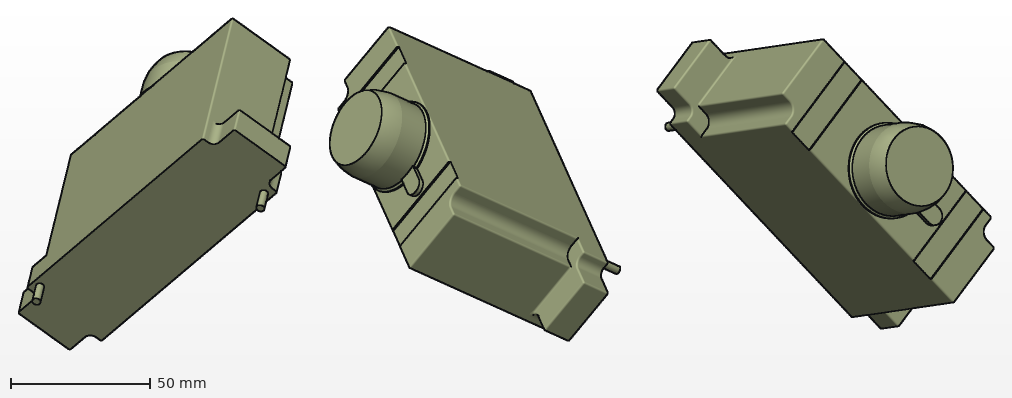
import cadquery as cq

length = 102.3
thickness = 34.8
height = 67.0
edge_radius = 0.7

flange_reach = 11.7
flange_inset = 5.3
flange_height = 11.5
flange_fillet = 2.9

rebate_length = 8.0
rebate_depth = 7.5
rebate_fillet = 3.8

groove_starts = (12.7, 80.5)
groove_width = 9.6
groove_depth = 0.6

knob_radius = 16.4
knob_top_radius = 14.3
knob_height = 20.3
knob_straight_height = 12.5
knob_mid_radius = 16.0
knob_mid_height = 15.9
collar_radius = 17.3
collar_height = 0.5

key_width = 6.9
key_tip = 23.8
key_height = 1.8

pin_radius = 1.5
pin_length = 8.3
pin_end_distance = 4.0
pin_side_distance = 3.0

turn_x = -69.9
turn_y = -47.3
turn_z = -1.9

mid_x = length / 2
mid_y = thickness / 2
tolerance = 0.01


def half_turned(shape):
    """Copy of a shape, turned half a revolution about the housing's upright axis."""
    return shape.rotate((mid_x, mid_y, 0), (mid_x, mid_y, 1), 180)


def box(x, y, z, dx, dy, dz):
    return cq.Workplane("XY").box(dx, dy, dz, centered=False).translate((x, y, z))


def is_sharp(edge):
    """True for the edges to round: none on the base, and none beside a larger fillet."""
    center = edge.Center()
    if center.z < tolerance:
        return False
    if center.z > height - tolerance:
        return True
    within_length = tolerance < center.x < length - tolerance
    within_flanges = tolerance - flange_reach < center.x < length + flange_reach - tolerance
    within_thickness = tolerance < center.y < thickness - tolerance
    inside_rebate = within_length and within_thickness
    beside_flange_fillet = within_flanges and within_thickness and center.z < flange_height - tolerance
    return not (inside_rebate or beside_flange_fillet)


def make_housing():
    """Base with flanges, rebated body and rounded outer edges."""
    block = box(0, 0, 0, length, thickness, height)
    flange_width = thickness - 2 * flange_inset
    flanges = box(-flange_reach, flange_inset, 0, length + 2 * flange_reach, flange_width, flange_height)

    rebate = box(0, 0, flange_height, rebate_length, rebate_depth, height - flange_height)
    inner_edge = cq.selectors.NearestToPointSelector((rebate_length, rebate_depth, height / 2))
    rebate = rebate.edges("|Z").edges(inner_edge).fillet(rebate_fillet)

    body = block.cut(rebate).cut(half_turned(rebate))
    housing = body.union(flanges)
    for x in (0, length):
        for y in (flange_inset, thickness - flange_inset):
            corner = cq.selectors.NearestToPointSelector((x, y, flange_height / 2))
            housing = housing.edges("|Z").edges(corner).fillet(flange_fillet)
    sharp_edges = [edge for edge in housing.edges().vals() if is_sharp(edge)]
    return housing.newObject(sharp_edges).fillet(edge_radius)


def cut_grooves(housing):
    """Shallow grooves running across the full thickness of the top face."""
    for start in groove_starts:
        housing = housing.cut(box(start, 0, height - groove_depth, groove_width, thickness, groove_depth))
    return housing


def make_knob():
    """Straight skirt standing on a thin collar, with a domed upper part."""
    profile = (
        cq.Workplane("XZ")
        .lineTo(collar_radius, 0)
        .lineTo(collar_radius, collar_height)
        .lineTo(knob_radius, collar_height + collar_radius - knob_radius)
        .lineTo(knob_radius, knob_straight_height)
        .threePointArc((knob_mid_radius, knob_mid_height), (knob_top_radius, knob_height))
        .lineTo(0, knob_height)
        .close()
    )
    return profile.revolve(360, (0, 0), (0, 1)).translate((mid_x, mid_y, height))


def make_key():
    """Round-ended key reaching from its tip into the side of the knob."""
    round_center = key_tip + key_width / 2
    tip = cq.Workplane("XY").circle(key_width / 2).extrude(key_height).translate((round_center, mid_y, height))
    bar = box(round_center, mid_y - key_width / 2, height, mid_x - round_center, key_width, key_height)
    return tip.union(bar)


def make_pin():
    pin = cq.Workplane("XY").circle(pin_radius).extrude(-pin_length)
    return pin.translate((pin_end_distance, pin_side_distance, 0))


part = cut_grooves(make_housing())
part = part.union(make_knob()).union(make_key())
part = part.union(make_pin()).union(half_turned(make_pin()))

origin = (0, 0, 0)
part = part.rotate(origin, (1, 0, 0), turn_x)
part = part.rotate(origin, (0, 1, 0), turn_y)
result = part.rotate(origin, (0, 0, 1), turn_z)